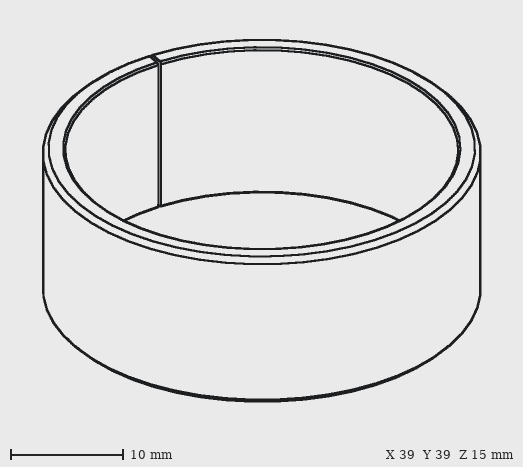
import cadquery as cq

outer_diameter = 39.0
inner_diameter = 35.0
height = 15.0

outer_chamfer = 0.5
inner_chamfer = 0.2

slit_width = 0.3

outer_radius = outer_diameter / 2
inner_radius = inner_diameter / 2
half_height = height / 2


def make_sleeve():
    """Tube centred on the origin, revolved from its chamfered wall section."""
    wall_section = [
        (inner_radius, half_height - inner_chamfer),
        (inner_radius + inner_chamfer, half_height),
        (outer_radius - outer_chamfer, half_height),
        (outer_radius, half_height - outer_chamfer),
        (outer_radius, outer_chamfer - half_height),
        (outer_radius - outer_chamfer, -half_height),
        (inner_radius + inner_chamfer, -half_height),
        (inner_radius, inner_chamfer - half_height),
    ]
    return (
        cq.Workplane("XZ")
        .polyline(wall_section)
        .close()
        .revolve(360, (0, 0, 0), (0, 1, 0))
    )


def make_slit():
    """Cutter running from the axis out past the wall along -X."""
    return (
        cq.Workplane("XY")
        .box(outer_diameter, slit_width, height, centered=(False, False, True))
        .translate((-outer_diameter, 0, 0))
    )


result = make_sleeve().cut(make_slit())